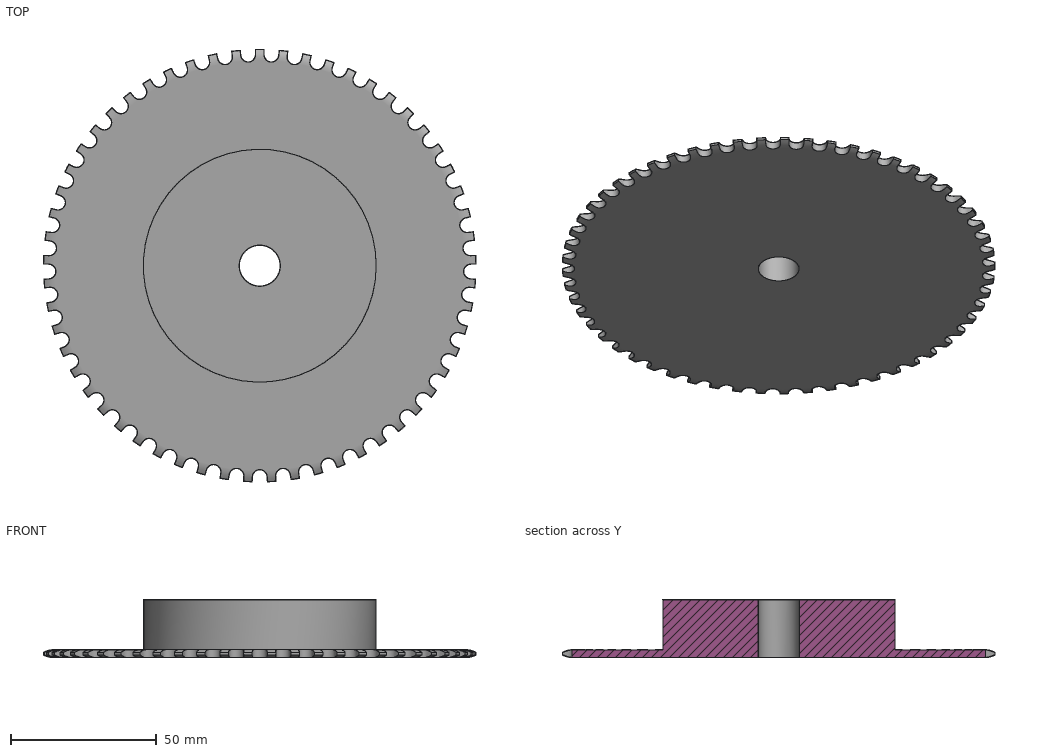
import math

import cadquery as cq

chain_pitch = 8.0
tooth_count = 57
tip_diameter = 148.6
plate_thickness = 2.8
side_relief_depth = 3.8
side_relief_radius = 8.0
roller_seat_radius = 2.5
gap_width_at_tip = 5.2

hub_diameter = 80.0
overall_height = 20.0
bore_diameter = 14.0

tip_radius = tip_diameter / 2
pitch_radius = chain_pitch / (2 * math.sin(math.pi / tooth_count))
tooth_angle = 360 / tooth_count
relief_start_radius = tip_radius - side_relief_depth
cut_clearance = 1.0


def relief_drop(distance):
    """Axial drop of the tooth side at a radial distance past the start of the rounding."""
    return side_relief_radius - math.sqrt(side_relief_radius**2 - distance**2)


def make_plate():
    """Toothless disc whose rim is rounded on both sides, centred on the Z axis."""
    tip_drop = relief_drop(side_relief_depth)
    middle_radius = relief_start_radius + side_relief_depth / 2
    middle_drop = relief_drop(side_relief_depth / 2)
    return (
        cq.Workplane("XZ")
        .lineTo(relief_start_radius, 0)
        .threePointArc((middle_radius, middle_drop), (tip_radius, tip_drop))
        .lineTo(tip_radius, plate_thickness - tip_drop)
        .threePointArc(
            (middle_radius, plate_thickness - middle_drop),
            (relief_start_radius, plate_thickness),
        )
        .lineTo(0, plate_thickness)
        .close()
        .revolve(360, (0, 0, 0), (0, 1, 0))
    )


def make_tooth_gap():
    """Cutter for one gap on the -Y side: a round roller seat with straight flanks flaring outward."""
    half_gap = gap_width_at_tip / 2
    flank_height = math.sqrt(tip_radius**2 - half_gap**2) - pitch_radius
    corner_distance = math.hypot(half_gap, flank_height)
    flare = math.acos(roller_seat_radius / corner_distance) - math.atan2(flank_height, half_gap)
    seat_x = roller_seat_radius * math.cos(flare)
    seat_y = -pitch_radius + roller_seat_radius * math.sin(flare)
    outer_y = -tip_radius - cut_clearance
    outer_x = seat_x + (seat_y - outer_y) * math.tan(flare)
    return (
        cq.Workplane("XY")
        .moveTo(-outer_x, outer_y)
        .lineTo(-seat_x, seat_y)
        .threePointArc((0, -pitch_radius + roller_seat_radius), (seat_x, seat_y))
        .lineTo(outer_x, outer_y)
        .close()
        .extrude(plate_thickness)
    )


def cut_teeth(plate):
    """Cut evenly spaced gaps, leaving a tooth centred on +Y."""
    gap = make_tooth_gap().val()
    gaps = [
        gap.rotate(cq.Vector(0, 0, 0), cq.Vector(0, 0, 1), index * tooth_angle)
        for index in range(tooth_count)
    ]
    return plate.cut(cq.Workplane("XY").newObject(gaps).combine(glue=True))


def make_hub():
    """Round hub standing on the same base plane as the plate."""
    return cq.Workplane("XY").circle(hub_diameter / 2).extrude(overall_height)


def make_bore():
    """Cutter for the through bore."""
    return cq.Workplane("XY").circle(bore_diameter / 2).extrude(overall_height)


result = cut_teeth(make_plate()).union(make_hub()).cut(make_bore())